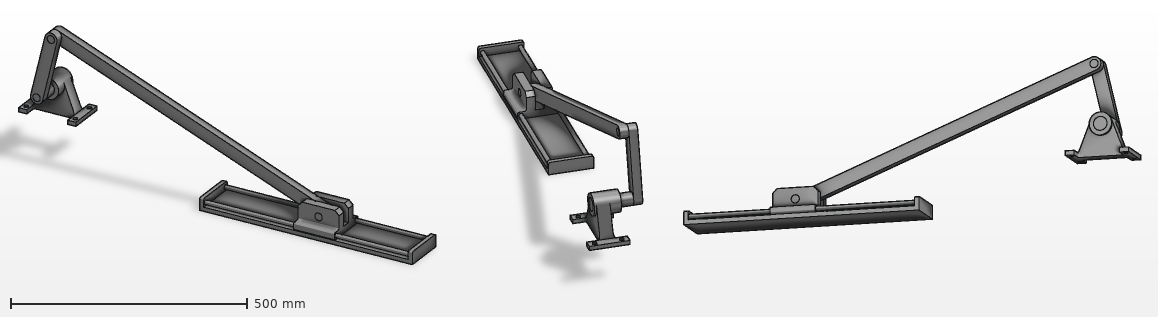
import cadquery as cq
import math

SHAFT_X = 70.0
ELBOW_X = 105.0
ELBOW_Z = 302.0
CRANK_LENGTH = 150.0
SHAFT_Z = ELBOW_Z - math.sqrt(CRANK_LENGTH**2 - (ELBOW_X - SHAFT_X) ** 2)
ARM_LENGTH = 703.0
TIP_Z = 45.0
TIP_X = ELBOW_X + math.sqrt(ARM_LENGTH**2 - (ELBOW_Z - TIP_Z) ** 2)

LINK_WIDTH = 30.0
LINK_THICKNESS = 20.0
PIN_DIAMETER = 18.0
SHAFT_DIAMETER = 30.0

RAIL_FRONT = 0.0
CRANK_FRONT = 20.0
ARM_FRONT = CRANK_FRONT + LINK_THICKNESS
ARM_BACK = ARM_FRONT + LINK_THICKNESS

FOOT_WIDTH = 20.0
FOOT_LENGTH = 90.0
FOOT_THICKNESS = 10.0
FOOT_FRONT = 65.0
SHAFT_HEIGHT = 70.0
HOLE_DIAMETER = 8.0
HOLE_MOUTH_DIAMETER = 10.0
HOLE_MOUTH_DEPTH = FOOT_THICKNESS / 2
HOLE_END_DISTANCE = 15.0
WEB_THICKNESS = 30.0
WEB_FLARE_RADIUS = 5.0
BARREL_DIAMETER = 50.0
BARREL_LENGTH = 60.0
BARREL_FRONT = 70.0
BRACKET_LENGTH = 2 * SHAFT_X
FOOT_Z = SHAFT_Z - SHAFT_HEIGHT
FOOT_TOP = FOOT_Z + FOOT_THICKNESS
FOOT_CENTER_Y = FOOT_FRONT + FOOT_LENGTH / 2
BARREL_BACK = BARREL_FRONT + BARREL_LENGTH

RAIL_X = 480.0
RAIL_LENGTH = 520.0
RAIL_WIDTH = 100.0
PLATE_THICKNESS = 10.0
CAP_LENGTH = 10.0
CAP_HEIGHT = 30.0
EDGE_RADIUS = 5.0
BAR_DIAMETER = 10.0
BAR_EDGE_DISTANCE = 8.0
BAR_HEIGHT = 8.5
BAR_Z = PLATE_THICKNESS + BAR_HEIGHT
RAIL_CENTER_Y = RAIL_FRONT + RAIL_WIDTH / 2

CLAMP_LENGTH = 100.0
CLAMP_TOP = 70.0
CLAMP_CHAMFER = 10.0
BODY_WIDTH = 60.0
BODY_FRONT = RAIL_CENTER_Y - BODY_WIDTH / 2
BODY_BACK = RAIL_CENTER_Y + BODY_WIDTH / 2
FLANGE_TOP = PLATE_THICKNESS + 2 * BAR_HEIGHT
SLOT_FLOOR = FLANGE_TOP


def y_cylinder(diameter, x, z, y_start, y_end):
    """Cylinder along Y between two Y positions."""
    return cq.Workplane("XZ", origin=(x, y_start, z)).circle(diameter / 2).extrude(y_start - y_end)


def link(x_start, z_start, x_end, z_end, y_front):
    """Round-ended flat bar between two joints, with a pin hole at each end."""
    length = math.hypot(x_end - x_start, z_end - z_start)
    angle = math.degrees(math.atan2(z_end - z_start, x_end - x_start))
    bar = (
        cq.Workplane("XZ")
        .center(length / 2, 0)
        .slot2D(length + LINK_WIDTH, LINK_WIDTH)
        .extrude(-LINK_THICKNESS)
        .rotate((0, 0, 0), (0, 1, 0), -angle)
        .translate((x_start, y_front, z_start))
    )
    for x, z in ((x_start, z_start), (x_end, z_end)):
        bar = bar.cut(y_cylinder(PIN_DIAMETER, x, z, y_front, y_front + LINK_THICKNESS))
    return bar


def make_foot(x_start):
    """Mounting foot with a stepped screw hole near each end."""
    hole_spacing = FOOT_LENGTH - 2 * HOLE_END_DISTANCE
    return (
        cq.Workplane("XY")
        .box(FOOT_WIDTH, FOOT_LENGTH, FOOT_THICKNESS, centered=(True, True, False))
        .faces(">Z")
        .workplane()
        .rarray(10, hole_spacing, 1, 2)
        .cboreHole(HOLE_DIAMETER, HOLE_MOUTH_DIAMETER, HOLE_MOUTH_DEPTH)
        .translate((x_start + FOOT_WIDTH / 2, FOOT_CENTER_Y, FOOT_Z))
    )


def make_web():
    """Upright web between the feet, flared into them, with sides that slope up tangent to the barrel."""
    left = FOOT_WIDTH
    right = BRACKET_LENGTH - FOOT_WIDTH
    front = FOOT_CENTER_Y - WEB_THICKNESS / 2
    back = FOOT_CENTER_Y + WEB_THICKNESS / 2
    flare = WEB_FLARE_RADIUS
    bend = flare * (1 - math.sqrt(0.5))
    plan = (
        cq.Workplane("XY", origin=(0, 0, FOOT_Z))
        .moveTo(left, front - flare)
        .threePointArc((left + bend, front - bend), (left + flare, front))
        .lineTo(right - flare, front)
        .threePointArc((right - bend, front - bend), (right, front - flare))
        .lineTo(right, back + flare)
        .threePointArc((right - bend, back + bend), (right - flare, back))
        .lineTo(left + flare, back)
        .threePointArc((left + bend, back + bend), (left, back + flare))
        .close()
        .extrude(SHAFT_Z + BARREL_DIAMETER / 2 - FOOT_Z)
    )

    radius = BARREL_DIAMETER / 2
    run = SHAFT_X - left
    rise = SHAFT_Z - FOOT_TOP
    slope = math.atan2(rise, run) + math.asin(radius / math.hypot(run, rise))
    tangent_x = radius * math.sin(slope)
    tangent_z = SHAFT_Z + radius * math.cos(slope)
    side = (
        cq.Workplane("XZ", origin=(0, FOOT_FRONT, 0))
        .moveTo(left, FOOT_Z)
        .lineTo(right, FOOT_Z)
        .lineTo(right, FOOT_TOP)
        .lineTo(SHAFT_X + tangent_x, tangent_z)
        .lineTo(SHAFT_X - tangent_x, tangent_z)
        .lineTo(left, FOOT_TOP)
        .close()
        .extrude(-FOOT_LENGTH)
    )
    return plan.intersect(side)


def make_bracket():
    bracket = make_web()
    for x in (0, BRACKET_LENGTH - FOOT_WIDTH):
        bracket = bracket.union(make_foot(x))
    bracket = bracket.union(y_cylinder(BARREL_DIAMETER, SHAFT_X, SHAFT_Z, BARREL_FRONT, BARREL_BACK))
    return bracket.cut(y_cylinder(SHAFT_DIAMETER, SHAFT_X, SHAFT_Z, BARREL_FRONT, BARREL_BACK))


def make_shaft():
    """Shaft through the barrel, with a thinner end that carries the crank."""
    shaft = y_cylinder(SHAFT_DIAMETER, SHAFT_X, SHAFT_Z, ARM_FRONT, BARREL_BACK)
    return shaft.union(y_cylinder(PIN_DIAMETER, SHAFT_X, SHAFT_Z, CRANK_FRONT, ARM_FRONT))


def make_bars(x_start, length):
    """Two round bars along X, one near each long edge of the rail."""
    return [
        cq.Workplane("YZ", origin=(x_start, y, BAR_Z)).circle(BAR_DIAMETER / 2).extrude(length)
        for y in (RAIL_FRONT + BAR_EDGE_DISTANCE, RAIL_FRONT + RAIL_WIDTH - BAR_EDGE_DISTANCE)
    ]


def make_rail():
    rail = cq.Workplane("XY").box(RAIL_LENGTH, RAIL_WIDTH, PLATE_THICKNESS, centered=False)
    rail = rail.translate((RAIL_X, RAIL_FRONT, 0))
    for bar in make_bars(RAIL_X + CAP_LENGTH / 2, RAIL_LENGTH - CAP_LENGTH):
        rail = rail.union(bar)
    cap = cq.Workplane("XY").box(CAP_LENGTH, RAIL_WIDTH, CAP_HEIGHT, centered=False)
    cap = cap.edges("|X and >Z").fillet(EDGE_RADIUS)
    for x in (RAIL_X, RAIL_X + RAIL_LENGTH - CAP_LENGTH):
        rail = rail.union(cap.translate((x, RAIL_FRONT, 0)))
    return rail


def clamp_block(width, z_start, z_end):
    """Block of the clamp's length, centred across the rail."""
    return (
        cq.Workplane("XY", origin=(TIP_X, RAIL_CENTER_Y, z_start))
        .box(CLAMP_LENGTH, width, z_end - z_start, centered=(True, True, False))
    )


def make_clamp():
    """Slotted block on a rounded flange that rides on the two rail bars."""
    flange = clamp_block(RAIL_WIDTH, PLATE_THICKNESS, FLANGE_TOP).edges("|X").fillet(EDGE_RADIUS)
    body = clamp_block(BODY_WIDTH, PLATE_THICKNESS, CLAMP_TOP).edges("|Y and >Z").chamfer(CLAMP_CHAMFER)
    clamp = flange.union(body)

    x_start = TIP_X - CLAMP_LENGTH / 2
    for y in (BODY_FRONT, BODY_BACK):
        foot_line = cq.selectors.NearestToPointSelector((TIP_X, y, FLANGE_TOP))
        clamp = clamp.edges("|X").edges(foot_line).fillet(EDGE_RADIUS)

    clamp = clamp.cut(clamp_block(LINK_THICKNESS, SLOT_FLOOR, CLAMP_TOP))
    for bar in make_bars(x_start, CLAMP_LENGTH):
        clamp = clamp.cut(bar)
    return clamp.cut(y_cylinder(PIN_DIAMETER, TIP_X, TIP_Z, BODY_FRONT, BODY_BACK))


bracket = make_bracket()
shaft = make_shaft()
crank = link(SHAFT_X, SHAFT_Z, ELBOW_X, ELBOW_Z, CRANK_FRONT)
elbow_pin = y_cylinder(PIN_DIAMETER, ELBOW_X, ELBOW_Z, CRANK_FRONT, ARM_BACK)
arm = link(ELBOW_X, ELBOW_Z, TIP_X, TIP_Z, ARM_FRONT)
tip_pin = y_cylinder(PIN_DIAMETER, TIP_X, TIP_Z, BODY_FRONT, BODY_BACK)
clamp = make_clamp()
rail = make_rail()

result = cq.Compound.makeCompound(
    [
        bracket.val(),
        shaft.val(),
        crank.val(),
        elbow_pin.val(),
        arm.val(),
        tip_pin.val(),
        clamp.val(),
        rail.val(),
    ]
)